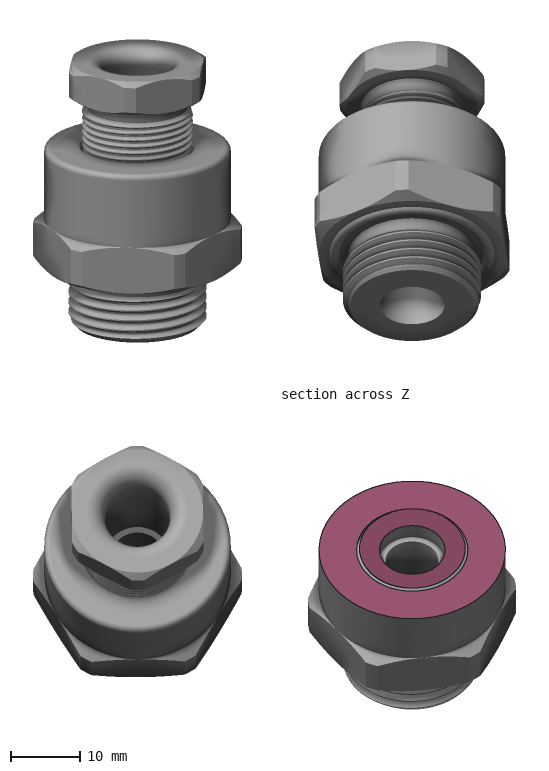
import cadquery as cq
import math

total_height = 40.0
housing_height = 27.0
hex_bottom = 9.0
hex_height = 7.0
hex_top = hex_bottom + hex_height
nut_head_height = 5.1
nut_head_bottom = total_height - nut_head_height
nut_bottom = 22.0
seat_height = 9.0

housing_diameter = 27.0
hex_corner_diameter = 30.15
rim_radius = 0.8
cavity_mouth_diameter = 16.85
hex_chamfer_angle = 30.0
hex_turn = 30.0

base_thread_major = 20.0
base_thread_minor = 18.15
base_thread_top = 7.0
base_neck_diameter = 18.3
base_chamfer = 1.05
base_groove_end = 7.3
base_groove_end_angle = -90.0

nut_flats = 19.0
nut_corner_diameter = 20.95
nut_chamfer_angle = 35.0
nut_turn = 0.0
nut_thread_major = 16.0
nut_thread_minor = 15.0
nut_thread_top = 32.9
nut_neck_diameter = 14.5
nut_collar_diameter = 14.8
nut_collar_height = 0.4
nut_groove_end = 32.65
nut_groove_end_angle = 180.0
nut_bore = 9.4
mouth_diameter = 14.4
mouth_radius = (mouth_diameter - nut_bore) / 2

seal_bore = 7.7
o_ring_inner_diameter = 20.65
o_ring_thickness = 1.75
o_ring_protrusion = 0.5

thread_half_angle = 30.0
crest_share = 1 / 8
nut_thread_pitch = 1.0
base_thread_pitch = 1.5 * nut_thread_pitch


def cylinder(diameter, bottom, top):
    return cq.Workplane("XY").workplane(offset=bottom).circle(diameter / 2).extrude(top - bottom)


def cone(bottom_diameter, top_diameter, bottom, top):
    solid = cq.Solid.makeCone(bottom_diameter / 2, top_diameter / 2, top - bottom, cq.Vector(0, 0, bottom))
    return cq.Workplane(solid)


def chamfered_hexagon(flats, corner_diameter, chamfer_angle, bottom, top, turn):
    """Hexagonal prism with rounded corners and conical chamfers on both ends."""
    prism = (
        cq.Workplane("XY")
        .workplane(offset=bottom)
        .polygon(6, flats / math.cos(math.pi / 6))
        .extrude(top - bottom)
        .rotate((0, 0, 0), (0, 0, 1), turn)
    )
    face_radius = flats / 2
    corner_radius = corner_diameter / 2
    drop = (corner_radius - face_radius) * math.tan(math.radians(chamfer_angle))
    envelope = (
        cq.Workplane("XZ")
        .moveTo(0, bottom)
        .lineTo(face_radius, bottom)
        .lineTo(corner_radius, bottom + drop)
        .lineTo(corner_radius, top - drop)
        .lineTo(face_radius, top)
        .lineTo(0, top)
        .close()
        .revolve(360, (0, 0, 0), (0, 1, 0))
    )
    return prism.intersect(envelope)


def taper_cutter(neck_diameter, major, top):
    """Material to remove so that the thread tapers to its neck at the flank angle."""
    drop = (major - neck_diameter) / 2 * math.tan(math.radians(thread_half_angle))
    return cylinder(major, top - drop, top).cut(cone(major, neck_diameter, top - drop, top))


def cut_thread(body, major, minor, pitch, thread_bottom, groove_end, end_angle):
    """Cut a right-hand V groove, turn by turn, from its end height and angle down past thread_bottom."""
    crest_width = pitch * crest_share
    overshoot = crest_width / 4
    slope = math.tan(math.radians(thread_half_angle))
    inner = minor / 2
    outer = major / 2 + overshoot
    outer_half = (pitch - crest_width) / 2 + overshoot * slope
    inner_half = outer_half - (outer - inner) * slope

    helix = cq.Workplane(cq.Wire.makeHelix(pitch, pitch, inner))
    one_turn = (
        cq.Workplane("XZ")
        .moveTo(inner, -inner_half)
        .lineTo(outer, -outer_half)
        .lineTo(outer, outer_half)
        .lineTo(inner, inner_half)
        .close()
        .sweep(helix, isFrenet=True)
        .rotate((0, 0, 0), (0, 0, 1), end_angle)
    )
    turns = math.ceil((groove_end - thread_bottom) / pitch) + 1
    for turn in range(1, turns + 1):
        body = body.cut(one_turn.translate((0, 0, groove_end - turn * pitch)))
    return body


def make_o_ring():
    section_radius = o_ring_thickness / 2
    ring_radius = o_ring_inner_diameter / 2 + section_radius
    centre_height = hex_bottom - o_ring_protrusion + section_radius
    return cq.Workplane(cq.Solid.makeTorus(ring_radius, section_radius, cq.Vector(0, 0, centre_height)))


def make_housing(o_ring):
    base = cylinder(base_thread_major, 0, base_thread_top).faces("<Z").chamfer(base_chamfer)
    neck = cylinder(base_neck_diameter, base_thread_top, hex_bottom)
    base = base.cut(taper_cutter(base_neck_diameter, base_thread_major, base_thread_top)).union(neck)
    base = cut_thread(
        base,
        base_thread_major,
        base_thread_minor,
        base_thread_pitch,
        0,
        base_groove_end,
        base_groove_end_angle,
    )
    hexagon = chamfered_hexagon(
        housing_diameter, hex_corner_diameter, hex_chamfer_angle, hex_bottom, hex_top, hex_turn
    )
    barrel = cylinder(housing_diameter, hex_top, housing_height)
    barrel = barrel.faces(">Z").edges().fillet(rim_radius)
    housing = base.union(hexagon).union(barrel)

    mouth_depth = (cavity_mouth_diameter - nut_thread_major) / 2
    housing = housing.cut(cylinder(nut_thread_major, seat_height, housing_height))
    countersink_bottom = housing_height - mouth_depth
    housing = housing.cut(cone(nut_thread_major, cavity_mouth_diameter, countersink_bottom, housing_height))
    housing = housing.cut(cylinder(nut_bore, 0, seat_height))

    return housing.cut(o_ring)


def make_seal():
    seal = cylinder(nut_thread_major, seat_height, nut_bottom)
    return seal.cut(cylinder(seal_bore, seat_height, nut_bottom))


def make_nut():
    shank = cylinder(nut_thread_major, nut_bottom, nut_thread_top)
    shank = shank.cut(taper_cutter(nut_neck_diameter, nut_thread_major, nut_thread_top))
    shank = cut_thread(
        shank,
        nut_thread_major,
        nut_thread_minor,
        nut_thread_pitch,
        nut_bottom,
        nut_groove_end,
        nut_groove_end_angle,
    )
    neck = cylinder(nut_neck_diameter, nut_thread_top, nut_head_bottom)
    collar_bottom = nut_head_bottom - nut_collar_height
    collar = cone(nut_neck_diameter, nut_collar_diameter, collar_bottom, nut_head_bottom)
    head = chamfered_hexagon(
        nut_flats, nut_corner_diameter, nut_chamfer_angle, nut_head_bottom, total_height, nut_turn
    )
    nut = shank.union(neck).union(collar).union(head)

    nut = nut.cut(cylinder(nut_bore, nut_bottom, total_height))
    bore_radius = nut_bore / 2
    mouth = (
        cq.Workplane("XZ")
        .moveTo(0, total_height - mouth_radius)
        .lineTo(bore_radius, total_height - mouth_radius)
        .radiusArc((bore_radius + mouth_radius, total_height), mouth_radius)
        .lineTo(0, total_height)
        .close()
        .revolve(360, (0, 0, 0), (0, 1, 0))
    )
    return nut.cut(mouth)


o_ring = make_o_ring()
housing = make_housing(o_ring)
seal = make_seal()
nut = make_nut()

result = cq.Compound.makeCompound([body.solids().val() for body in (housing, nut, seal, o_ring)])